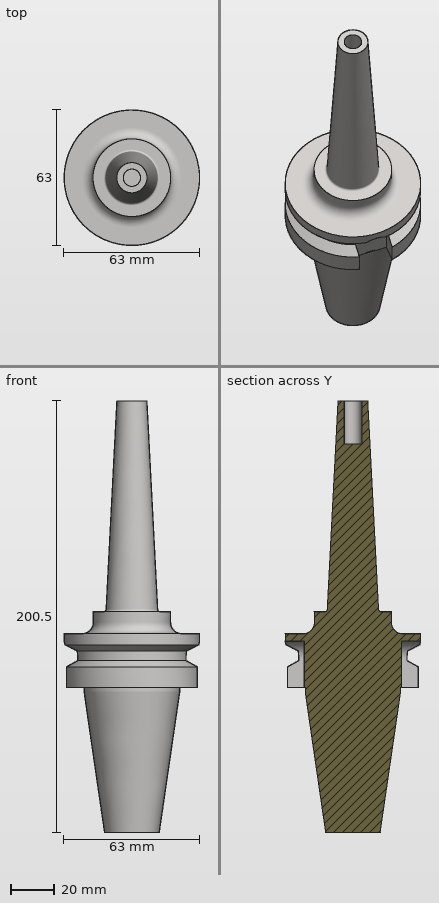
import cadquery as cq
import math

total_height = 200.5
gauge_height = 65.3
flange_bottom = 67.3
flange_top = 92.4
hub_top = 102.6

gauge_radius = 22.2
taper_per_height = 7 / 24
small_end_radius = gauge_radius - gauge_height * taper_per_height / 2

flange_radius = 31.5
groove_radius = 26.5
groove_start = 77.0
groove_end = 87.2
flank_height = (flange_radius - groove_radius) * math.tan(math.radians(30))

hub_radius = 18.0
hub_fillet = 5.0
nose_base_radius = 12.0
nose_tip_radius = 7.0
nose_fillet = 1.0

bore_radius = 4.0
bore_depth = 20.0

slot_width = 16.2
slot_top = 88.8
slot_floor_distance = 22.6


def concave_midpoint(inner_radius, bottom, fillet):
    """Middle of a quarter arc that blends a cylinder into the face below it."""
    inset = fillet * (1 - math.sqrt(0.5))
    return inner_radius + inset, bottom + inset


def make_body():
    return (
        cq.Workplane("XZ")
        .moveTo(0, 0)
        .lineTo(small_end_radius, 0)
        .lineTo(gauge_radius, gauge_height)
        .lineTo(gauge_radius, flange_bottom)
        .lineTo(flange_radius, flange_bottom)
        .lineTo(flange_radius, groove_start)
        .lineTo(groove_radius, groove_start + flank_height)
        .lineTo(groove_radius, groove_end - flank_height)
        .lineTo(flange_radius, groove_end)
        .lineTo(flange_radius, flange_top)
        .lineTo(hub_radius + hub_fillet, flange_top)
        .threePointArc(
            concave_midpoint(hub_radius, flange_top, hub_fillet),
            (hub_radius, flange_top + hub_fillet),
        )
        .lineTo(hub_radius, hub_top)
        .lineTo(nose_base_radius + nose_fillet, hub_top)
        .threePointArc(
            concave_midpoint(nose_base_radius, hub_top, nose_fillet),
            (nose_base_radius, hub_top + nose_fillet),
        )
        .lineTo(nose_tip_radius, total_height)
        .lineTo(0, total_height)
        .close()
        .revolve(360, (0, 0, 0), (0, 1, 0))
    )


def make_bore():
    return (
        cq.Workplane("XY")
        .workplane(offset=total_height - bore_depth)
        .circle(bore_radius)
        .extrude(bore_depth)
    )


def make_drive_slot(side):
    """Slot cutter on the +X (side = 1) or -X (side = -1) side of the flange."""
    half_width = slot_width / 2
    arc_center = slot_top - half_width
    return (
        cq.Workplane("YZ")
        .workplane(offset=side * slot_floor_distance)
        .moveTo(-half_width, flange_bottom)
        .lineTo(half_width, flange_bottom)
        .lineTo(half_width, arc_center)
        .threePointArc((0, slot_top), (-half_width, arc_center))
        .close()
        .extrude(side * flange_radius)
    )


result = make_body().cut(make_bore())
for side in (-1, 1):
    result = result.cut(make_drive_slot(side))